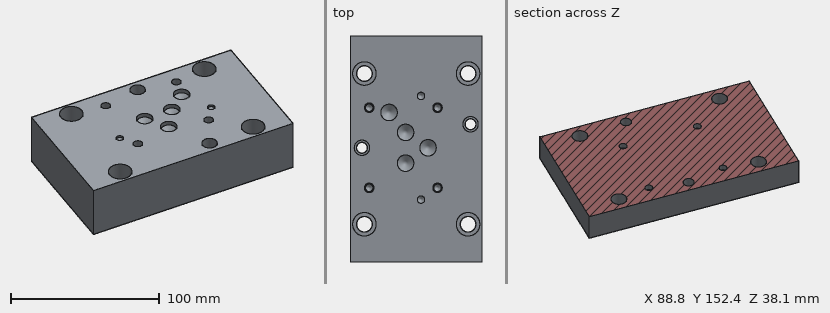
import cadquery as cq
import math

WIDTH = 88.8
LENGTH = 152.4
HEIGHT = 38.1

MOUNT_X = 34.9
MOUNT_Y = 50.7
MOUNT_DIAMETER = 10.4
MOUNT_BORE_DIAMETER = 15.8
MOUNT_BORE_DEPTH = 15.8

SIDE_X = 36.5
SIDE_RIGHT_Y = 16.6
SIDE_DIAMETER = 7.2
SIDE_BORE_DIAMETER = 10.4
SIDE_BORE_DEPTH = 10.4

VALVE_X = -8.7
VALVE_Y = 0.8
BOLT_SPACING_X = 46.0
BOLT_SPACING_Y = 54.0
BOLT_DIAMETER = 6.4
BOLT_DEPTH = 18.3
TAP_DIAMETER = 5.0
TAP_DEPTH = 22.9

PIN_X = 3.2
PIN_SPACING_Y = 69.8
PIN_DIAMETER = 5.0
PIN_DEPTH = 1.5

PORT_DIAMETER = 11.1
PORT_DEPTH = 3.2
CENTRE_PORT_X = -7.2
CENTRE_PORT_SPACING_Y = 20.7
RIGHT_PORT_X = 8.0
UPPER_PORT_X = -18.3
UPPER_PORT_Y = 24.5

DRILL_POINT_ANGLE = 118.0


def drilled_hole(x, y, diameter, depth):
    """Blind hole from the top face, ending in a drill-point cone below its full-diameter depth."""
    radius = diameter / 2
    tip_depth = depth + radius / math.tan(math.radians(DRILL_POINT_ANGLE / 2))
    half_profile = (
        cq.Workplane("XZ")
        .moveTo(0, 0)
        .lineTo(radius, 0)
        .lineTo(radius, -depth)
        .lineTo(0, -tip_depth)
        .close()
    )
    return half_profile.revolve(360, (0, 0, 0), (0, 1, 0)).translate((x, y, HEIGHT))


def counterbore_holes(body, points, diameter, bore_diameter, bore_depth):
    """Cut through holes with flat-bottomed counterbores in the top face."""
    top = body.faces(">Z").workplane(origin=(0, 0, HEIGHT))
    return top.pushPoints(points).cboreHole(diameter, bore_diameter, bore_depth)


block = cq.Workplane("XY").box(WIDTH, LENGTH, HEIGHT, centered=(True, True, False))

mount_points = [(x, y) for x in (-MOUNT_X, MOUNT_X) for y in (-MOUNT_Y, MOUNT_Y)]
side_points = [(-SIDE_X, VALVE_Y), (SIDE_X, SIDE_RIGHT_Y)]
block = counterbore_holes(block, mount_points, MOUNT_DIAMETER, MOUNT_BORE_DIAMETER, MOUNT_BORE_DEPTH)
block = counterbore_holes(block, side_points, SIDE_DIAMETER, SIDE_BORE_DIAMETER, SIDE_BORE_DEPTH)

for side_x in (-1, 1):
    for side_y in (-1, 1):
        bolt_x = VALVE_X + side_x * BOLT_SPACING_X / 2
        bolt_y = VALVE_Y + side_y * BOLT_SPACING_Y / 2
        bore = cq.Workplane("XY").circle(BOLT_DIAMETER / 2).extrude(-BOLT_DEPTH)
        block = block.cut(bore.translate((bolt_x, bolt_y, HEIGHT)))
        block = block.cut(drilled_hole(bolt_x, bolt_y, TAP_DIAMETER, TAP_DEPTH))

for side_y in (-1, 1):
    pin_y = VALVE_Y + side_y * PIN_SPACING_Y / 2
    block = block.cut(drilled_hole(PIN_X, pin_y, PIN_DIAMETER, PIN_DEPTH))

port_points = [
    (CENTRE_PORT_X, VALVE_Y + CENTRE_PORT_SPACING_Y / 2),
    (CENTRE_PORT_X, VALVE_Y - CENTRE_PORT_SPACING_Y / 2),
    (RIGHT_PORT_X, VALVE_Y),
    (UPPER_PORT_X, UPPER_PORT_Y),
]
for port_x, port_y in port_points:
    block = block.cut(drilled_hole(port_x, port_y, PORT_DIAMETER, PORT_DEPTH))

result = block